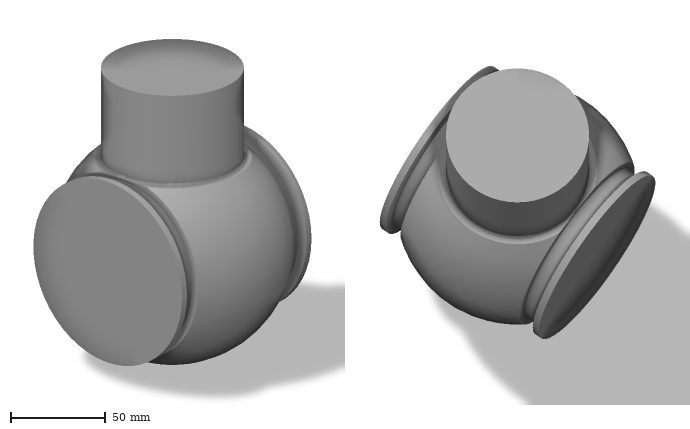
import cadquery as cq

body_radius = 65.05
top_flat_height = 49.5
side_flat_distance = 39.1

total_height = 166.5
pipe_radius = 76.1 / 2
pipe_top = total_height - body_radius
pipe_root_fillet = 1.5

flange_radius = 104.8 / 2
flange_face_distance = 52.5
flange_rim_width = 4.0
flange_bevel_width = 1.3
neck_radius = 95.3 / 2
neck_root_fillet = 0.5


def make_body():
    """Sphere cut flat on top and on both Y sides."""
    sphere = cq.Workplane("XY").sphere(body_radius)
    envelope = cq.Workplane("XY").box(
        2 * body_radius, 2 * side_flat_distance, body_radius + top_flat_height
    ).translate((0, 0, (top_flat_height - body_radius) / 2))
    return sphere.intersect(envelope)


def make_pipe():
    """Upright pipe, solid, with a concave fillet where it meets the top flat."""
    fillet_top = top_flat_height + pipe_root_fillet
    pipe = (
        cq.Workplane("XZ")
        .lineTo(pipe_radius + pipe_root_fillet, 0)
        .lineTo(pipe_radius + pipe_root_fillet, top_flat_height)
        .radiusArc((pipe_radius, fillet_top), pipe_root_fillet)
        .lineTo(pipe_radius, pipe_top)
        .lineTo(0, pipe_top)
        .close()
        .revolve(360, (0, 0), (0, 1))
    )
    trim = cq.Workplane("XY").box(2 * body_radius, 2 * side_flat_distance, 2 * pipe_top)
    return pipe.intersect(trim)


def make_flanges():
    """Filleted neck, bevel and rim on the Y axis, mirrored to both sides."""
    rim_start = flange_face_distance - flange_rim_width
    bevel_start = rim_start - flange_bevel_width
    flange = (
        cq.Workplane("XY")
        .lineTo(neck_radius + neck_root_fillet, 0)
        .lineTo(neck_radius + neck_root_fillet, side_flat_distance)
        .radiusArc((neck_radius, side_flat_distance + neck_root_fillet), neck_root_fillet)
        .lineTo(neck_radius, bevel_start)
        .lineTo(flange_radius, rim_start)
        .lineTo(flange_radius, flange_face_distance)
        .lineTo(0, flange_face_distance)
        .close()
        .revolve(360, (0, 0), (0, 1))
    )
    return flange.union(flange.mirror("XZ"))


result = make_body().union(make_pipe()).union(make_flanges())